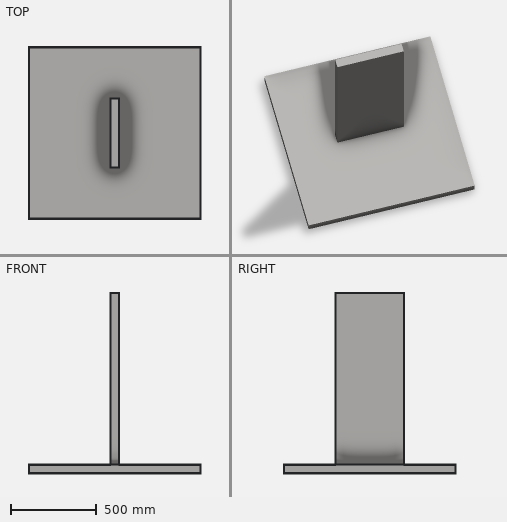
import cadquery as cq

BASE_SIDE = 1000.0
PLATE_THICKNESS = 50.0
UPRIGHT_WIDTH = 400.0
UPRIGHT_HEIGHT = 1000.0


def make_base():
    """Square plate lying flat, with its underside at Z = 0."""
    return cq.Workplane("XY").box(
        BASE_SIDE, BASE_SIDE, PLATE_THICKNESS, centered=(True, True, False)
    )


def add_upright(base):
    """Thin panel standing at the centre of the base, its broad faces toward +X and -X."""
    return (
        base.faces(">Z")
        .workplane()
        .rect(PLATE_THICKNESS, UPRIGHT_WIDTH)
        .extrude(UPRIGHT_HEIGHT)
    )


result = add_upright(make_base())